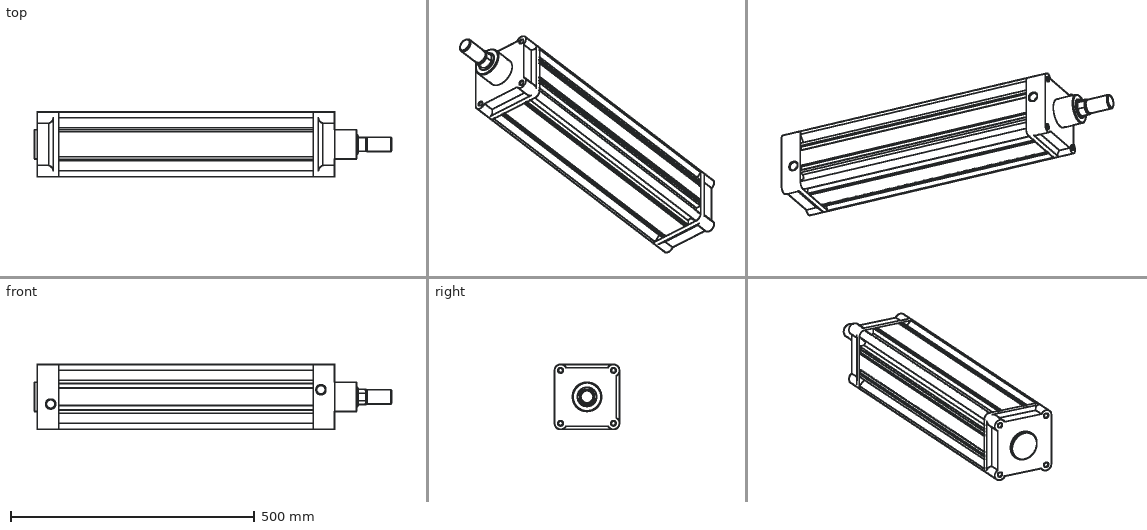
import cadquery as cq
import math


TOTAL_LENGTH = 735.0
WIDTH = 134.0
CORNER_RADIUS = 12.5
SPIGOT_LENGTH = 6.0
SPIGOT_RADIUS = 30.0
SPIGOT_CHAMFER = 1.5
CAP_LENGTH = 44.0
BARREL_LENGTH = 523.0
NECK_LENGTH = 45.5

RECESS_DEPTH = 6.5
RECESS_FLOOR_LENGTH = 24.0
RECESS_RAMP_LENGTH = 9.0
SCREW_HOLE_RADIUS = 4.5
SCREW_HOLE_DEPTH = 15.0
SCREW_HOLE_CHAMFER = 1.1
PORT_RADIUS = 9.0
PORT_DEPTH = 22.0
PORT_CHAMFER = 1.5
PORT_SETBACK = 16.0
PORT_OFFSET = 15.0

VEE_BOTTOM = 40.0
VEE_WALL = 34.0
VEE_SHALLOW_RISE = 4.0
VEE_FILLET = 2.0
SQUARE_GROOVE_START = 26.0
SQUARE_GROOVE_WIDTH = 4.5
SQUARE_GROOVE_DEPTH = 4.5
SENSOR_GROOVE_START = 18.0
SENSOR_GROOVE_END = 28.0
SENSOR_GROOVE_DEPTH = 4.0
SENSOR_GROOVE_DRAFT = 1.1

ROD_RADIUS = 20.0
ROD_PROTRUSION = 1.5
ROD_SHOULDER_LENGTH = 1.5
SHANK_RADIUS = 16.0
SHANK_END = 681.0
ACROSS_FLATS = 29.0
UNDERCUT_RADIUS = 13.0
UNDERCUT_LENGTH = 2.0
THREAD_RADIUS = 15.0
THREAD_CHAMFER = 2.0

HALF = WIDTH / 2
EAR_CENTRE = HALF - CORNER_RADIUS
REAR_CAP_START = SPIGOT_LENGTH
BARREL_START = REAR_CAP_START + CAP_LENGTH
BARREL_END = BARREL_START + BARREL_LENGTH
FRONT_CAP_END = BARREL_END + CAP_LENGTH
NECK_END = FRONT_CAP_END + NECK_LENGTH


def cylinder_along_x(x_start, length, radius):
    return cq.Workplane("YZ", origin=(x_start, 0, 0)).circle(radius).extrude(length)


def rounded_block(x_start, length):
    block = cq.Workplane("YZ", origin=(x_start, 0, 0)).rect(WIDTH, WIDTH).extrude(length)
    return block.edges("|X").fillet(CORNER_RADIUS)


def ear_axes(x_start):
    """Workplane across X with a point at the centre of each corner ear."""
    face = cq.Workplane("YZ", origin=(x_start, 0, 0))
    return face.rect(2 * EAR_CENTRE, 2 * EAR_CENTRE, forConstruction=True).vertices()


def recess_cutters(x_outer, inward):
    """Ramped recesses on +Z, +Y and -Z, open at the outer end face, that leave round ears at the corners."""
    x_floor_end = x_outer + inward * RECESS_FLOOR_LENGTH
    x_ramp_end = x_floor_end + inward * RECESS_RAMP_LENGTH
    floor = HALF - RECESS_DEPTH
    ramp_profile = (
        cq.Workplane("XZ", origin=(0, HALF, 0))
        .polyline([(x_outer, floor), (x_floor_end, floor), (x_ramp_end, HALF), (x_outer, HALF)])
        .close()
        .extrude(WIDTH)
    )
    floor_angle = math.asin((floor - EAR_CENTRE) / CORNER_RADIUS)
    middle_angle = (floor_angle + math.pi / 2) / 2
    floor_half_width = EAR_CENTRE - CORNER_RADIUS * math.cos(floor_angle)
    wall_y = EAR_CENTRE - CORNER_RADIUS * math.cos(middle_angle)
    wall_z = EAR_CENTRE + CORNER_RADIUS * math.sin(middle_angle)
    between_ears = (
        cq.Workplane("YZ", origin=(x_outer, 0, 0))
        .moveTo(-floor_half_width, floor)
        .lineTo(floor_half_width, floor)
        .threePointArc((wall_y, wall_z), (EAR_CENTRE, HALF))
        .lineTo(-EAR_CENTRE, HALF)
        .threePointArc((-wall_y, wall_z), (-floor_half_width, floor))
        .close()
        .extrude(inward * (RECESS_FLOOR_LENGTH + RECESS_RAMP_LENGTH))
    )
    top = ramp_profile.intersect(between_ears)
    return [top.rotate((0, 0, 0), (1, 0, 0), angle) for angle in (0, -90, 180)]


def make_cap(x_start, x_outer, inward, x_port, z_port):
    cap = rounded_block(x_start, CAP_LENGTH)
    for cutter in recess_cutters(x_outer, inward):
        cap = cap.cut(cutter)

    holes = ear_axes(x_outer).circle(SCREW_HOLE_RADIUS).extrude(inward * SCREW_HOLE_DEPTH)
    mouths = (
        ear_axes(x_outer)
        .circle(SCREW_HOLE_RADIUS + SCREW_HOLE_CHAMFER)
        .extrude(inward * SCREW_HOLE_CHAMFER, taper=45)
    )
    cap = cap.cut(holes).cut(mouths)

    port_face = cq.Workplane("XZ", origin=(x_port, -HALF, z_port))
    port = port_face.circle(PORT_RADIUS).extrude(-PORT_DEPTH)
    port_mouth = port_face.circle(PORT_RADIUS + PORT_CHAMFER).extrude(-PORT_CHAMFER, taper=45)
    return cap.cut(port).cut(port_mouth)


def make_rear_cap():
    cap = make_cap(REAR_CAP_START, REAR_CAP_START, 1, BARREL_START - PORT_SETBACK, -PORT_OFFSET)
    spigot = cylinder_along_x(0, SPIGOT_LENGTH, SPIGOT_RADIUS)
    return cap.union(spigot.faces("<X").chamfer(SPIGOT_CHAMFER))


def make_front_cap():
    cap = make_cap(BARREL_END, FRONT_CAP_END, -1, BARREL_END + PORT_SETBACK, PORT_OFFSET)
    neck = cylinder_along_x(FRONT_CAP_END, NECK_LENGTH, SPIGOT_RADIUS)
    cap = cap.union(neck.faces(">X").chamfer(SPIGOT_CHAMFER))
    return cap.cut(cylinder_along_x(BARREL_END, CAP_LENGTH + NECK_LENGTH, ROD_RADIUS))


def barrel_groove(points):
    """Groove in the +Z face, full length, from its (Y, Z) section."""
    return cq.Workplane("YZ", origin=(BARREL_START, 0, 0)).polyline(points).close().extrude(BARREL_LENGTH)


def corner_vee():
    bottom = HALF - (EAR_CENTRE - VEE_BOTTOM)
    vee = barrel_groove([
        (EAR_CENTRE, HALF),
        (VEE_BOTTOM, bottom),
        (VEE_WALL, bottom + VEE_SHALLOW_RISE),
        (VEE_WALL, HALF),
    ])
    return vee.edges("|X").edges("<Z").fillet(VEE_FILLET)


def square_groove():
    end = SQUARE_GROOVE_START + SQUARE_GROOVE_WIDTH
    floor = HALF - SQUARE_GROOVE_DEPTH
    return barrel_groove([
        (SQUARE_GROOVE_START, HALF), (SQUARE_GROOVE_START, floor), (end, floor), (end, HALF),
    ])


def sensor_groove():
    floor = HALF - SENSOR_GROOVE_DEPTH
    return barrel_groove([
        (SENSOR_GROOVE_START, HALF),
        (SENSOR_GROOVE_START + SENSOR_GROOVE_DRAFT, floor),
        (SENSOR_GROOVE_END - SENSOR_GROOVE_DRAFT, floor),
        (SENSOR_GROOVE_END, HALF),
    ])


def make_barrel():
    barrel = rounded_block(BARREL_START, BARREL_LENGTH)
    vee = corner_vee()
    square = square_groove()
    sensor = sensor_groove()
    for angle, face_groove in ((0, square), (90, sensor), (180, square), (270, sensor)):
        for groove in (vee, face_groove):
            for side in (groove, groove.mirror("XZ")):
                barrel = barrel.cut(side.rotate((0, 0, 0), (1, 0, 0), angle))
    return barrel


def make_rod():
    shoulder_start = NECK_END + ROD_PROTRUSION
    shank_start = shoulder_start + ROD_SHOULDER_LENGTH
    undercut_end = SHANK_END + UNDERCUT_LENGTH
    step = THREAD_RADIUS - UNDERCUT_RADIUS
    rod = (
        cq.Workplane("XY")
        .polyline([
            (BARREL_END, 0),
            (BARREL_END, ROD_RADIUS),
            (shoulder_start, ROD_RADIUS),
            (shank_start, SHANK_RADIUS),
            (SHANK_END, SHANK_RADIUS),
            (SHANK_END, UNDERCUT_RADIUS),
            (undercut_end, UNDERCUT_RADIUS),
            (undercut_end + step, THREAD_RADIUS),
            (TOTAL_LENGTH - THREAD_CHAMFER, THREAD_RADIUS),
            (TOTAL_LENGTH, THREAD_RADIUS - THREAD_CHAMFER),
            (TOTAL_LENGTH, 0),
        ])
        .close()
        .revolve(360, (0, 0, 0), (1, 0, 0))
    )
    flat_length = SHANK_END - shank_start
    for side in (-1, 1):
        y_middle = side * (ACROSS_FLATS / 2 + SHANK_RADIUS / 2)
        flat = cq.Workplane("XY").box(flat_length, SHANK_RADIUS, 2 * SHANK_RADIUS)
        rod = rod.cut(flat.translate((shank_start + flat_length / 2, y_middle, 0)))
    return rod


rear_cap = make_rear_cap()
barrel = make_barrel()
front_cap = make_front_cap()
rod = make_rod()

result = cq.Compound.makeCompound([rear_cap.val(), barrel.val(), front_cap.val(), rod.val()])